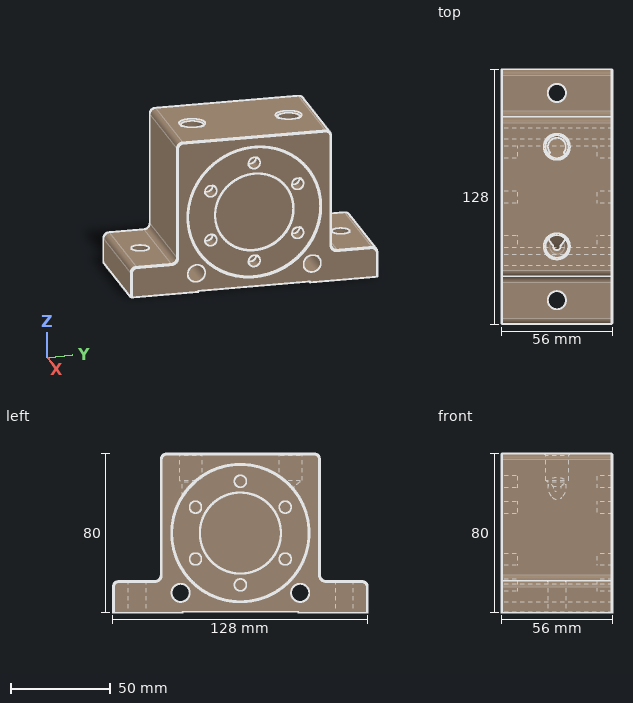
import cadquery as cq
import math

WIDTH = 56.0
FOOT_LENGTH = 128.0
FOOT_HEIGHT = 16.0
BLOCK_LENGTH = 80.0
HEIGHT = 80.0
CORNER_RADIUS = 3.0
EDGE_CHAMFER = 0.6

RELIEF_LENGTH = 58.0
RELIEF_DEPTH = 0.5

MOUNT_DIAMETER = 9.0
FOOT_HOLE_Y = 52.0
CROSS_HOLE_Y = 30.0
CROSS_HOLE_Z = 10.0

COVER_Z = HEIGHT / 2
COVER_SEAM_DIAMETER = 69.6
COVER_SEAM_WIDTH = 0.6
HUB_SEAM_DIAMETER = 41.0
HUB_SEAM_WIDTH = 0.3
SEAM_DEPTH = 0.5

VENT_COUNT = 6
VENT_DIAMETER = 6.0
VENT_CIRCLE_RADIUS = 26.0
VENT_DEPTH = 8.0

PORT_Y = 25.0
PORT_DIAMETER = 11.45
PORT_MOUTH_DIAMETER = 13.2
PORT_DEPTH = 13.4
DRUM_RADIUS = 34.0
OUTLET_POINT_ANGLE = 118.0
INLET_POINT_ANGLE = 105.0
OUTLET_DIAMETER = 9.0
INLET_SEAT_DIAMETER = 7.4
NOZZLE_DIAMETER = 3.7
NOZZLE_SEAT_DROP = 1.6


def housing():
    """Block and foot outline with rounded corners and chamfered X-face edges."""
    half_foot = FOOT_LENGTH / 2
    half_block = BLOCK_LENGTH / 2
    outline = [
        (-half_foot, 0),
        (-half_foot, FOOT_HEIGHT),
        (-half_block, FOOT_HEIGHT),
        (-half_block, HEIGHT),
        (half_block, HEIGHT),
        (half_block, FOOT_HEIGHT),
        (half_foot, FOOT_HEIGHT),
        (half_foot, 0),
    ]
    body = cq.Workplane("YZ").polyline(outline).close().extrude(WIDTH / 2, both=True)
    body = body.edges("|X").edges("not <Z").fillet(CORNER_RADIUS)
    return body.faces("<X or >X").edges("not <Z").chamfer(EDGE_CHAMFER)


def underside_relief():
    """Thin slab removed from the middle of the underside over the full width."""
    return cq.Workplane("XY").box(WIDTH, RELIEF_LENGTH, RELIEF_DEPTH, centered=(True, True, False))


def mounting_holes():
    """Two vertical holes through the foot and two cross holes along X."""
    radius = MOUNT_DIAMETER / 2
    vertical = (
        cq.Workplane("XY")
        .pushPoints([(0, -FOOT_HOLE_Y), (0, FOOT_HOLE_Y)])
        .circle(radius)
        .extrude(FOOT_HEIGHT)
    )
    cross = (
        cq.Workplane("YZ")
        .pushPoints([(-CROSS_HOLE_Y, CROSS_HOLE_Z), (CROSS_HOLE_Y, CROSS_HOLE_Z)])
        .circle(radius)
        .extrude(WIDTH / 2, both=True)
    )
    return vertical.union(cross)


def seam(diameter, width):
    """Ring groove in the -X face: sloped outer wall of the given diameter, straight inner wall."""
    outer_radius = diameter / 2
    inner_radius = outer_radius - width
    face_x = -WIDTH / 2
    section = [
        (face_x, outer_radius),
        (face_x, inner_radius),
        (face_x + SEAM_DEPTH, inner_radius),
    ]
    return (
        cq.Workplane("XY")
        .polyline(section)
        .close()
        .revolve(360, (0, 0), (1, 0))
        .translate((0, 0, COVER_Z))
    )


def cover_cuts():
    """Seams and vent holes of the cover on the -X face."""
    vents = (
        cq.Workplane("YZ", origin=(-WIDTH / 2, 0, COVER_Z))
        .polarArray(VENT_CIRCLE_RADIUS, 90, 360, VENT_COUNT)
        .circle(VENT_DIAMETER / 2)
        .extrude(VENT_DEPTH)
    )
    cover_seam = seam(COVER_SEAM_DIAMETER, COVER_SEAM_WIDTH)
    hub_seam = seam(HUB_SEAM_DIAMETER, HUB_SEAM_WIDTH)
    return vents.union(cover_seam).union(hub_seam)


def port(y, lower_profile):
    """Countersunk port at the given Y; lower_profile lists (radius, z) below the drill point."""
    port_radius = PORT_DIAMETER / 2
    mouth_radius = PORT_MOUTH_DIAMETER / 2
    end_radius = lower_profile[-1][0]
    profile = [
        (0, HEIGHT),
        (mouth_radius, HEIGHT),
        (port_radius, HEIGHT - (mouth_radius - port_radius)),
        (port_radius, HEIGHT - PORT_DEPTH),
        *lower_profile,
        (end_radius, COVER_Z),
        (0, COVER_Z),
    ]
    return cq.Workplane("XZ").polyline(profile).close().revolve(360, (0, 0), (0, 1)).translate((0, y, 0))


def drill_point_z(diameter, point_angle):
    """Height at which a port's conical end of the given angle narrows to the given diameter."""
    drop = (PORT_DIAMETER - diameter) / 2 / math.tan(math.radians(point_angle / 2))
    return HEIGHT - PORT_DEPTH - drop


def air_ports():
    """Outlet at +Y and stepped nozzle inlet at -Y, both ending on the drum surface."""
    outlet = port(PORT_Y, [(OUTLET_DIAMETER / 2, drill_point_z(OUTLET_DIAMETER, OUTLET_POINT_ANGLE))])
    seat_z = drill_point_z(INLET_SEAT_DIAMETER, INLET_POINT_ANGLE)
    inlet = port(
        -PORT_Y,
        [
            (INLET_SEAT_DIAMETER / 2, seat_z),
            (NOZZLE_DIAMETER / 2, seat_z - NOZZLE_SEAT_DROP),
        ],
    )
    drum = (
        cq.Workplane("YZ")
        .center(0, COVER_Z)
        .circle(DRUM_RADIUS)
        .extrude(WIDTH / 2, both=True)
    )
    return outlet.union(inlet).cut(drum)


near_cover = cover_cuts()
result = (
    housing()
    .cut(underside_relief())
    .cut(mounting_holes())
    .cut(near_cover)
    .cut(near_cover.mirror("YZ"))
    .cut(air_ports())
)